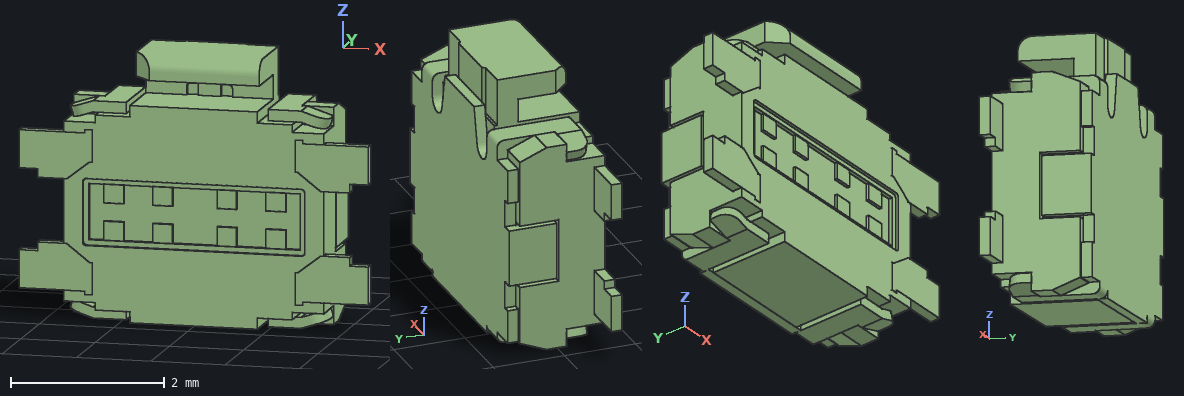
import cadquery as cq
import math


sheet = 0.15
depth = 1.35
housing_half_width = 1.75
housing_half_height = 1.45
housing_back = depth - sheet

arm_inner_x = 0.955
arm_outer_x = 1.325
arm_front_y = 0.19
arm_seat_z = housing_half_height - sheet
bend_radius = 0.1

foot_bend_x = 1.4
foot_back_y = 0.54
foot_corner_radius = 0.2
foot_pocket_z = 1.2
foot_tip_drop = 0.114

middle_half_width = 0.857
slope_start_y = 0.823
slope_end_z = 1.3
seat_half_width = 1.495
seat_half_height = 0.446
seat_corner_radius = 0.05
seat_depth = 0.045
window_half_width = 1.422
window_half_height = 0.375
window_depth = 0.055
pad_height = 0.04
pad_size_z = 0.253
pad_spans_x = [(0.3, 0.562), (0.957, 1.225)]

button_top = 2.1
button_wall_front = 0.866
button_back = 1.16
button_rib_half_width = 0.41
overhang_bottom = 1.774
overhang_front = 0.1
nose_radius = 0.2
nose_chamfer = 0.235
dimple_inner_x = 0.152
dimple_outer_x = 0.308
dimple_height = 0.158
dimple_corner_radius = 0.05
dimple_depth = 0.05

side_center_z = -0.055
ear_half_width = 1.7
ear_inner = 0.77
ear_outer = 1.237
neck_half_width = housing_half_width - sheet
side_tab_half_height = 0.395
side_tab_front_y = 0.68
side_recess_half_height = 0.44
side_recess_front_y = 0.65
tongue_half_width = 0.515
tongue_top = 1.605
notch_radius = 0.17
notch_center_z = 1.15

terminal_tip_x = 2.35
terminal_step_x = 2.1
terminal_slant_x = 1.71
terminal_slant_end_x = 1.4
terminal_inner_x = 1.366
terminal_hook_x = 1.466
terminal_bottom_z = 0.43
terminal_step_z = 0.545
terminal_slant_end_z = 0.67
terminal_top_z = 1.055
terminal_hook_z = 1.1


def box(x0, x1, y0, y1, z0, z1):
    """Axis-aligned block between two opposite corners."""
    return cq.Workplane("XY").box(x1 - x0, y1 - y0, z1 - z0, centered=False).translate((x0, y0, z0))


def extrude_front(outline, y0, y1):
    """Extrude an XZ outline from y0 to y1."""
    return cq.Workplane("XZ", origin=(0, y0, 0)).polyline(outline).close().extrude(y0 - y1)


def extrude_side(outline, x0, x1):
    """Extrude a YZ outline from x0 to x1."""
    return cq.Workplane("YZ", origin=(x0, 0, 0)).polyline(outline).close().extrude(x1 - x0)


def both_sides(shape):
    """The shape together with its mirror image across X = 0."""
    return shape.union(shape.mirror("YZ"))


def both_ends(shape):
    """The shape together with its mirror image across Z = 0."""
    return shape.union(shape.mirror("XY"))


def all_corners(shape):
    return both_ends(both_sides(shape))


def make_terminal(side, end):
    outline = [
        (terminal_tip_x, terminal_top_z),
        (terminal_hook_x, terminal_top_z),
        (terminal_hook_x, terminal_hook_z),
        (terminal_inner_x, terminal_hook_z),
        (terminal_inner_x, terminal_slant_end_z),
        (terminal_slant_end_x, terminal_slant_end_z),
        (terminal_slant_x, terminal_bottom_z),
        (terminal_step_x, terminal_bottom_z),
        (terminal_step_x, terminal_step_z),
        (terminal_tip_x, terminal_step_z),
    ]
    return extrude_front([(side * x, end * z) for x, z in outline], 0, sheet)


terminals = [make_terminal(side, end) for side in (-1, 1) for end in (-1, 1)]


def make_body():
    core = box(-housing_half_width, housing_half_width, 0, housing_back, -foot_pocket_z, foot_pocket_z)
    shoulder = box(-arm_outer_x, arm_outer_x, 0, housing_back, -arm_seat_z, arm_seat_z)
    middle = box(-middle_half_width, middle_half_width, 0, housing_back,
                 -housing_half_height, housing_half_height)
    corner = extrude_side(
        [
            (foot_back_y, 0),
            (foot_back_y, housing_half_height),
            (slope_start_y, housing_half_height),
            (housing_back, slope_end_z),
            (housing_back, 0),
        ],
        arm_outer_x,
        housing_half_width,
    )
    return core.union(shoulder).union(middle).union(all_corners(corner))


def make_seat():
    """Stepped recess in the mounting face, with pads left standing on its floor."""
    floor_y = seat_depth + window_depth
    seat = box(-seat_half_width, seat_half_width, 0, seat_depth, -seat_half_height, seat_half_height)
    seat = seat.edges("|Y").fillet(seat_corner_radius)
    window = box(-window_half_width, window_half_width, 0, floor_y, -window_half_height, window_half_height)
    for x0, x1 in pad_spans_x:
        pad = box(x0, x1, floor_y - pad_height, floor_y, window_half_height - pad_size_z, window_half_height)
        window = window.cut(all_corners(pad))
    return seat.union(window)


def make_side_recess():
    return box(neck_half_width, housing_half_width, side_recess_front_y, housing_back,
               side_center_z - side_recess_half_height, side_center_z + side_recess_half_height)


def make_button():
    """L-shaped button whose root starts inside the raised middle of the housing."""
    wall = box(-middle_half_width, middle_half_width, button_wall_front, button_back, 0, button_top)
    rib_foot_half_width = button_rib_half_width + housing_back - button_back
    rib = (
        cq.Workplane("XY")
        .moveTo(-rib_foot_half_width, button_back)
        .lineTo(-button_rib_half_width, housing_back)
        .lineTo(button_rib_half_width, housing_back)
        .lineTo(rib_foot_half_width, button_back)
        .close()
        .extrude(button_top)
    )
    overhang = box(-middle_half_width, middle_half_width, overhang_front, button_wall_front,
                   overhang_bottom, button_top)
    overhang = overhang.edges(">Z and <Y").fillet(nose_radius)
    nose_cut = (
        cq.Workplane("XY", origin=(0, 0, overhang_bottom))
        .moveTo(-middle_half_width, overhang_front)
        .lineTo(-middle_half_width + nose_chamfer, overhang_front)
        .lineTo(-middle_half_width, overhang_front + nose_chamfer)
        .close()
        .extrude(button_top - overhang_bottom)
    )
    return wall.union(rib).union(overhang.cut(nose_cut))


def make_dimple():
    """Shallow pocket in the front of the button wall, rounded at its outer top corner."""
    pocket = box(dimple_inner_x, dimple_outer_x, button_wall_front, button_wall_front + dimple_depth,
                 housing_half_height, housing_half_height + dimple_height)
    return pocket.edges("|Y and >X and >Z").fillet(dimple_corner_radius)


housing = make_body().cut(make_seat()).cut(both_sides(make_side_recess()))
housing = housing.union(make_button()).cut(both_sides(make_dimple()))
for terminal in terminals:
    housing = housing.cut(terminal)


def make_plate():
    plate = box(-neck_half_width, neck_half_width, housing_back, depth,
                side_center_z - ear_outer, side_center_z + ear_outer)
    for direction in (-1, 1):
        near, far = sorted(side_center_z + direction * d for d in (ear_inner, ear_outer))
        plate = plate.union(box(-ear_half_width, ear_half_width, housing_back, depth, near, far))
    foot_strip = box(-arm_inner_x, arm_inner_x, housing_back, depth, -housing_half_height, 0)
    return plate.union(foot_strip)


def make_tongue():
    """Tapered tongue behind the button, with the round-bottomed notches on both sides of it."""
    notch_center_x = arm_inner_x - notch_radius
    run = notch_center_x - tongue_half_width
    rise = tongue_top - notch_center_z
    reach = math.hypot(run, rise)
    angle = math.atan2(rise, -run) + math.acos(notch_radius / reach)
    tangent_x = notch_center_x + notch_radius * math.cos(angle)
    tangent_z = notch_center_z + notch_radius * math.sin(angle)
    half = (
        cq.Workplane("XZ", origin=(0, housing_back, 0))
        .moveTo(0, 0)
        .lineTo(0, tongue_top)
        .lineTo(tongue_half_width, tongue_top)
        .lineTo(tangent_x, tangent_z)
        .threePointArc((notch_center_x, notch_center_z - notch_radius), (arm_inner_x, notch_center_z))
        .lineTo(arm_inner_x, 0)
        .close()
        .extrude(-sheet)
    )
    return both_sides(half)


def make_plate_with_tongue():
    notch_bottom = notch_center_z - notch_radius
    opening = box(-arm_inner_x, arm_inner_x, housing_back, depth, notch_bottom, tongue_top)
    return make_plate().cut(opening).union(make_tongue())


def make_arm():
    leg = box(arm_inner_x, arm_outer_x, housing_back, depth, 0, housing_half_height)
    strip = box(arm_inner_x, arm_outer_x, arm_front_y, depth, arm_seat_z, housing_half_height)
    return leg.union(strip).edges("|X and >Y and >Z").fillet(bend_radius)


def make_foot():
    """Foot that reaches outwards from the arm and slants towards the housing."""
    slant = math.atan2(foot_tip_drop, housing_half_width - foot_bend_x)
    tip_thickness = sheet * math.cos(slant)
    tip_z = housing_half_height - foot_tip_drop
    outline = [
        (arm_outer_x, housing_half_height),
        (foot_bend_x, housing_half_height),
        (housing_half_width, tip_z),
        (housing_half_width - tip_thickness * math.sin(slant), tip_z - tip_thickness * math.cos(slant)),
        (foot_bend_x, arm_seat_z),
        (arm_outer_x, arm_seat_z),
    ]
    foot = extrude_front(outline, arm_front_y, foot_back_y)
    return foot.faces(">X").edges("<Y").fillet(foot_corner_radius)


def make_side_tab():
    return box(neck_half_width, housing_half_width, side_tab_front_y, depth,
               side_center_z - side_tab_half_height, side_center_z + side_tab_half_height)


cover = make_plate_with_tongue().union(all_corners(make_arm().union(make_foot())))
cover = cover.union(both_sides(make_side_tab()))

result = cq.Compound.makeCompound([housing.val(), cover.val(), *[terminal.val() for terminal in terminals]])